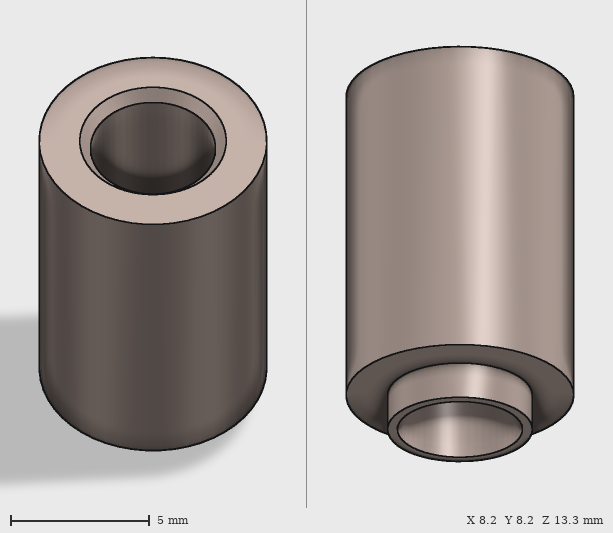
import cadquery as cq

total_height = 13.35
body_diameter = 8.2
spigot_diameter = 5.2
spigot_height = 1.38
bore_diameter = 4.5
bore_chamfer = 0.39

body_height = total_height - spigot_height

spigot = cq.Workplane("XY").circle(spigot_diameter / 2).extrude(spigot_height)
body = (
    cq.Workplane("XY")
    .workplane(offset=spigot_height)
    .circle(body_diameter / 2)
    .extrude(body_height)
)
spacer = spigot.union(body)

bored_spacer = spacer.faces(">Z").workplane().hole(bore_diameter)
bore_mouth = cq.selectors.RadiusNthSelector(0)
result = bored_spacer.faces(">Z").edges(bore_mouth).chamfer(bore_chamfer)